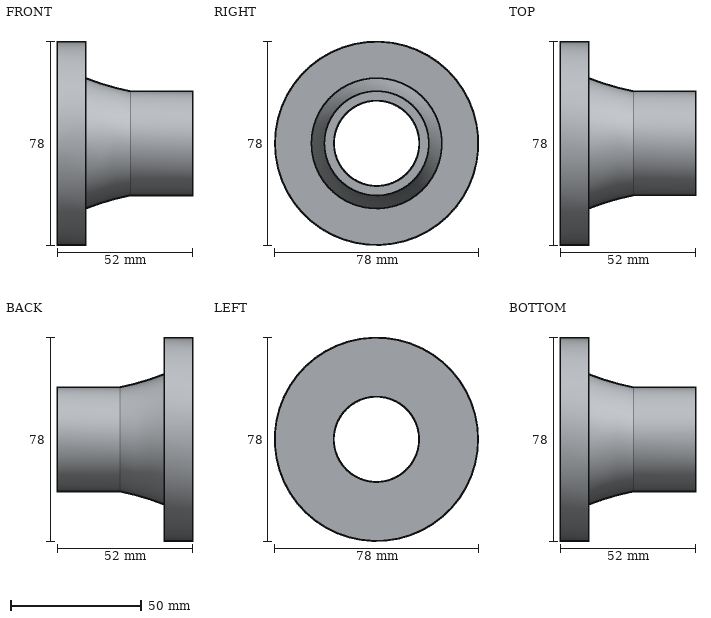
import cadquery as cq

total_length = 52.0
flange_diameter = 78.0
flange_thickness = 11.0
hub_base_diameter = 50.0
hub_length = 17.0
hub_sag = 0.4
neck_diameter = 40.0
bore_diameter = 32.6

flange_radius = flange_diameter / 2
hub_base_radius = hub_base_diameter / 2
neck_radius = neck_diameter / 2
bore_radius = bore_diameter / 2
hub_end = flange_thickness + hub_length

half_section = (
    cq.Workplane(cq.Plane(origin=(0, 0, 0), xDir=(1, 0, 0), normal=(0, 0, -1)))
    .moveTo(0, bore_radius)
    .lineTo(0, flange_radius)
    .lineTo(flange_thickness, flange_radius)
    .lineTo(flange_thickness, hub_base_radius)
    .sagittaArc((hub_end, neck_radius), -hub_sag)
    .lineTo(total_length, neck_radius)
    .lineTo(total_length, bore_radius)
    .close()
)

result = half_section.revolve(360, (0, 0, 0), (1, 0, 0))